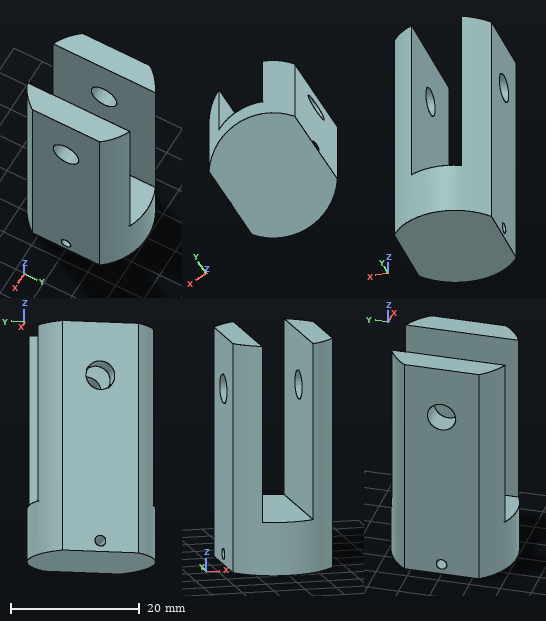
import cadquery as cq

height = 36.5
diameter = 20.0
across_flats = 16.0

slot_width = 8.1
slot_floor = 8.5

pivot_diameter = 4.53
pivot_height = 28.0
pin_diameter = 1.68
pin_height = 1.7


def flatted_bar():
    """Upright round bar trimmed to parallel flats on -X and +X."""
    bar = cq.Workplane("XY").circle(diameter / 2).extrude(height)
    envelope = cq.Workplane("XY").rect(across_flats, diameter).extrude(height)
    return bar.intersect(envelope)


def fork_slot():
    """Square-bottomed slot running through along Y."""
    return (
        cq.Workplane("XY", origin=(0, 0, slot_floor))
        .rect(slot_width, diameter)
        .extrude(height - slot_floor)
    )


def cross_hole(hole_diameter, hole_height):
    """Cylinder along X, centred on the bar at the given height."""
    return (
        cq.Workplane("YZ")
        .center(0, hole_height)
        .circle(hole_diameter / 2)
        .extrude(across_flats / 2, both=True)
    )


result = (
    flatted_bar()
    .cut(fork_slot())
    .cut(cross_hole(pivot_diameter, pivot_height))
    .cut(cross_hole(pin_diameter, pin_height))
)